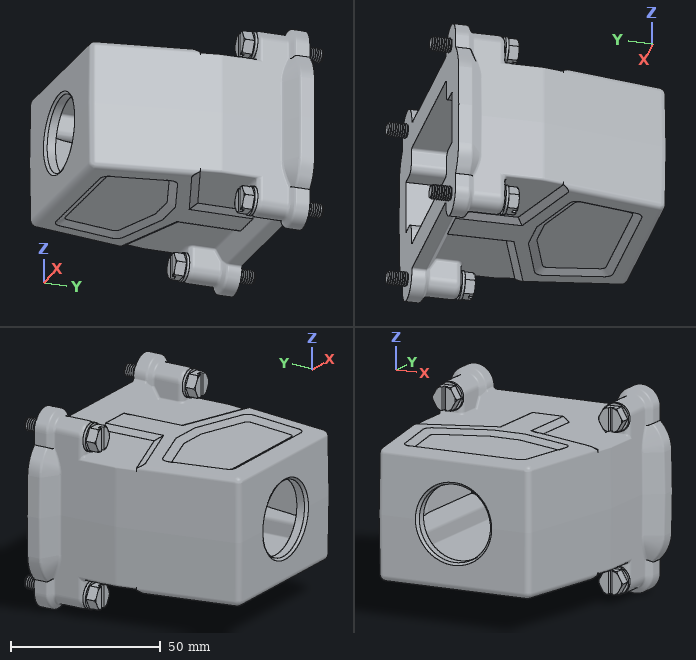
import cadquery as cq
import math


FRONT_Y = -75.0
BEND_Y = -30.8
SIDE_HALF_X = 36.5
SIDE_ANGLE = 10.0
BEND_RADIUS = 6.0
RIDGE_Z = 23.1
STEP_DEPTH = 1.5
PANEL_Z = RIDGE_Z - STEP_DEPTH
BODY_DRAFT = 0.75
RIDGE_FILLET = 2.2
PANEL_FILLET = 1.0
STEP_RUN = 2.8
NOSE_OVERLAP = 15.0

STEM_HALF_X = 5.8
BRANCH_Y = -30.6
BRANCH_ANGLE = 19.5

POCKET_TOP_HALF_X = 6.0
POCKET_TOP_Y = -35.6
POCKET_CORNER_X = 27.5
POCKET_CORNER_Y = -43.1
POCKET_BOTTOM_HALF_X = 22.8
POCKET_BOTTOM_Y = -68.2
POCKET_RIM_RADIUS = 3.0
POCKET_FLOOR_RADIUS = 2.0

WALL = 3.5
FRONT_WALL = 4.0
CAVITY_HALF_X = 25.2
CAVITY_FILLET = 1.2
CHANNEL_HALF_Z = 9.5
CHANNEL_MOUTH_RADIUS = 3.0
ENTRY_DIAMETER = 26.9
ENTRY_CHAMFER = 1.0

FLANGE_THICKNESS = 5.1
FLANGE_HALF_X = 43.0
FLANGE_DRAFT = 1.2
FLANGE_HALF_Z = 27.45
FLANGE_CORNER_RADIUS = 13.4
BEVEL_ANGLE = 58.5
BEVEL_DEPTH = 4.2

SCREW_X = 31.43
SCREW_Z = 28.0
LUG_Z = 28.5
LUG_RADIUS = 7.0
LUG_BEVEL_DEPTH = 1.5
FLANGE_EDGE_FILLET = 1.0
ROOT_FILLET = 1.0
BOSS_END_Y = -17.9
BOSS_FILLET = 2.0
WASHER_DIAMETER = 10.0
WASHER_THICKNESS = 1.0
HEAD_ACROSS_FLATS = 8.1
HEAD_HEIGHT = 3.7
HEAD_CHAMFER = 0.4
DRIVE_SLOT_WIDTH = 1.35
DRIVE_SLOT_DEPTH = 1.35
THREAD_DIAMETER = 5.0
THREAD_CORE_DIAMETER = 4.2
THREAD_PITCH = 0.8
THREAD_TURNS = 8
SCREW_END_Y = 6.94

FAR = 60.0


def body_outline(inset, front_y):
    """Half-hexagon plan outline, inset from the sides and closed at front_y."""
    half_x = SIDE_HALF_X - inset
    front_half_x = half_x - (BEND_Y - front_y) * math.tan(math.radians(SIDE_ANGLE))
    return [
        (-half_x, 0),
        (-half_x, BEND_Y),
        (-front_half_x, front_y),
        (front_half_x, front_y),
        (half_x, BEND_Y),
        (half_x, 0),
    ]


def quadrant():
    """Space where X and Z are positive; one quarter of the hood is built here and mirrored."""
    return cq.Workplane("XY").box(FAR, 3 * FAR, FAR, centered=(False, True, False))


def at_four_corners(part):
    """Join a quarter part with its mirror images about Z = 0 and X = 0."""
    right_pair = part.union(part.mirror("XY"))
    return right_pair.union(right_pair.mirror("YZ"))


def half_block(height, edge_fillet):
    """Upper half of the hood block, drafted upward from the parting plane."""
    block = cq.Workplane("XY").polyline(body_outline(0, FRONT_Y)).close()
    block = block.extrude(height, taper=BODY_DRAFT)
    near_bend = cq.selectors.BoxSelector(
        (-FAR, BEND_Y - 2, 0), (FAR, BEND_Y + 2, height)
    )
    block = block.edges(near_bend).edges("not #Z").fillet(BEND_RADIUS)
    near_front = cq.selectors.BoxSelector((-FAR, FRONT_Y - 1, 1), (FAR, FRONT_Y + 1, height - 1))
    front_edges = block.edges(near_front)
    block = front_edges.fillet(RIDGE_FILLET)
    return block.faces(">Z").edges("not >Y").fillet(edge_fillet)


def panel_outline(shift):
    """Outline right of the stem; shift moves its stem and branch edges into the panel."""
    slope = math.tan(math.radians(BRANCH_ANGLE))
    edge_shift_y = shift / math.cos(math.radians(BRANCH_ANGLE)) - shift * slope
    corner = (STEM_HALF_X + shift, BRANCH_Y + edge_shift_y)
    outer_y = corner[1] - (FAR - corner[0]) * slope
    return [(corner[0], 0), corner, (FAR, outer_y), (FAR, 0)]


def panel_cutter():
    """Region above the right recessed panel, with sloped stem and branch walls."""
    cutter = cq.Workplane("XY").workplane(offset=PANEL_Z).polyline(panel_outline(STEP_RUN)).close()
    cutter = cutter.workplane(offset=STEP_DEPTH).polyline(panel_outline(0)).close()
    cutter = cutter.loft(ruled=True)
    below = cq.Workplane("XY").polyline(panel_outline(STEP_RUN)).close().extrude(PANEL_Z)
    return cutter.union(below)


def pocket_wire(inset, corner_radius, z):
    """Six-sided pocket outline with four rounded corners at height z."""
    outline = [
        (-POCKET_TOP_HALF_X, POCKET_TOP_Y),
        (-POCKET_CORNER_X, POCKET_CORNER_Y),
        (-POCKET_BOTTOM_HALF_X, POCKET_BOTTOM_Y),
        (POCKET_BOTTOM_HALF_X, POCKET_BOTTOM_Y),
        (POCKET_CORNER_X, POCKET_CORNER_Y),
        (POCKET_TOP_HALF_X, POCKET_TOP_Y),
    ]
    wire = cq.Workplane("XY").workplane(offset=z).polyline(outline).close()
    if inset:
        wire = wire.offset2D(-inset, "intersection")
    wire = wire.val()
    corners = [v for v in wire.Vertices() if abs(v.X) > 2 * POCKET_TOP_HALF_X]
    return wire.fillet2D(corner_radius, corners)


def pocket_cutter():
    rim = pocket_wire(0, POCKET_RIM_RADIUS, RIDGE_Z)
    floor = pocket_wire(STEP_RUN, POCKET_FLOOR_RADIUS, PANEL_Z)
    return cq.Workplane(cq.Solid.makeLoft([floor, rim], True))


def hood_body():
    """Upper half of the hood; the recessed panel is cut on the right side only."""
    ridge = half_block(RIDGE_Z, RIDGE_FILLET).cut(pocket_cutter())
    ridge = ridge.cut(panel_cutter())
    lower = half_block(PANEL_Z, PANEL_FILLET)
    keep_length = -FRONT_Y - NOSE_OVERLAP
    keep = cq.Workplane("XY").box(2 * FAR, keep_length, FAR, centered=(True, False, False))
    lower = lower.intersect(keep.translate((0, -keep_length, 0)))
    return ridge.union(lower)


def flange_outline():
    """Flange plate outline in (x, z): rounded rectangle with slightly pitched ends."""
    corner_x = FLANGE_HALF_X - FLANGE_HALF_Z * math.tan(math.radians(FLANGE_DRAFT))
    corners = [(corner_x, FLANGE_HALF_Z), (-corner_x, FLANGE_HALF_Z)]
    corners += [(-FLANGE_HALF_X, 0), (-corner_x, -FLANGE_HALF_Z)]
    corners += [(corner_x, -FLANGE_HALF_Z), (FLANGE_HALF_X, 0)]
    wire = cq.Workplane("XZ").polyline(corners).close().val()
    rounded = [v for v in wire.Vertices() if abs(v.Z) > FLANGE_HALF_Z / 2]
    return cq.Workplane("XZ").add(wire.fillet2D(FLANGE_CORNER_RADIUS, rounded)).toPending()


def side_x(z):
    """Half width of the drafted body side at height z, behind the bend."""
    return SIDE_HALF_X - z * math.tan(math.radians(BODY_DRAFT))


def tongue_outline(radius, root_outer_x):
    """Outline of an upper-right tongue: round outer end, straight sides to the parting plane."""
    return (
        cq.Workplane("XZ")
        .moveTo(SCREW_X - radius, 0)
        .lineTo(SCREW_X - radius, LUG_Z)
        .threePointArc((SCREW_X, LUG_Z + radius), (SCREW_X + radius, LUG_Z))
        .lineTo(root_outer_x, 0)
        .close()
    )


def bevelled(outline, depth):
    """Quarter of a flange-thick plate with a bevelled front and a rounded bevel edge."""
    plate = outline.extrude(FLANGE_THICKNESS)
    bevel = plate.faces("<Y").wires().toPending().extrude(depth, combine=False, taper=BEVEL_ANGLE)
    at_bevel = cq.selectors.BoxSelector(
        (-FAR, -FLANGE_THICKNESS - 0.1, -FAR), (FAR, -FLANGE_THICKNESS + 0.1, FAR)
    )
    return plate.union(bevel).intersect(quadrant()).edges(at_bevel).fillet(FLANGE_EDGE_FILLET)


def flange():
    """Quarter of the flange with its screw lug."""
    plate = bevelled(flange_outline(), BEVEL_DEPTH)
    lug = bevelled(tongue_outline(LUG_RADIUS, SCREW_X + LUG_RADIUS), LUG_BEVEL_DEPTH)
    return plate.union(lug)


def boss():
    """Upper-right screw boss, flush with the body side, with its outer end rounded."""
    post = tongue_outline(side_x(LUG_Z) - SCREW_X, SIDE_HALF_X).extrude(-BOSS_END_Y)
    return post.faces("<Y").edges("not <Z").fillet(BOSS_FILLET)


def screw():
    """Upper-right slotted hex screw with washer, along the Y axis; thread as plain rings."""
    core = THREAD_CORE_DIAMETER / 2
    crest = THREAD_DIAMETER / 2
    thread_start = SCREW_END_Y - (THREAD_TURNS + 0.5) * THREAD_PITCH
    profile = [(0, BOSS_END_Y), (core, BOSS_END_Y)]
    for turn in range(THREAD_TURNS):
        root_y = thread_start + turn * THREAD_PITCH
        profile += [(core, root_y), (crest, root_y + THREAD_PITCH / 2)]
    profile += [(core, thread_start + THREAD_TURNS * THREAD_PITCH), (core, SCREW_END_Y)]
    profile.append((0, SCREW_END_Y))
    shank = cq.Workplane("XY").polyline(profile).close().revolve(360, (0, 0), (0, 1))

    washer = cq.Workplane("XZ", origin=(0, BOSS_END_Y, 0)).circle(WASHER_DIAMETER / 2)
    washer = washer.extrude(WASHER_THICKNESS)

    head_y = BOSS_END_Y - WASHER_THICKNESS
    corner_radius = HEAD_ACROSS_FLATS / math.sqrt(3)
    head = cq.Workplane("XZ", origin=(0, head_y, 0)).polygon(6, 2 * corner_radius)
    head = head.extrude(HEAD_HEIGHT)
    turned = cq.Workplane("XZ", origin=(0, head_y, 0)).circle(corner_radius).extrude(HEAD_HEIGHT)
    head = head.intersect(turned.faces("<Y").chamfer(HEAD_CHAMFER))
    slot = cq.Workplane("XY").box(DRIVE_SLOT_WIDTH, 2 * DRIVE_SLOT_DEPTH, WASHER_DIAMETER)
    head = head.cut(slot.translate((0, head_y - HEAD_HEIGHT, 0)))
    return shank.union(washer).union(head).translate((SCREW_X, 0, SCREW_Z))


def cavity():
    """Hollow interior, open through the mating face."""
    length = -FRONT_Y - FRONT_WALL
    half_z = PANEL_Z - WALL
    main = cq.Workplane("XZ").rect(2 * CAVITY_HALF_X, 2 * half_z).extrude(length)
    main = main.edges("|Y").fillet(CAVITY_FILLET)
    channel = cq.Workplane("XZ").rect(2 * SIDE_HALF_X, 2 * CHANNEL_HALF_Z).extrude(length)
    hollow = main.union(channel)
    mouth = cq.selectors.BoxSelector(
        (-CAVITY_HALF_X - 1, -FAR, -CHANNEL_HALF_Z - 1),
        (CAVITY_HALF_X + 1, FAR, CHANNEL_HALF_Z + 1),
    )
    hollow = hollow.edges("|Y").edges(mouth).fillet(CHANNEL_MOUTH_RADIUS)
    inner_outline = body_outline(WALL, -length)
    limits = cq.Workplane("XY").polyline(inner_outline).close().extrude(half_z, both=True)
    return hollow.intersect(limits)


def cable_entry():
    """Round cable entry through the front wall, widened by a conical rim."""
    radius = ENTRY_DIAMETER / 2
    profile = [
        (0, FRONT_Y - ENTRY_CHAMFER),
        (radius + 2 * ENTRY_CHAMFER, FRONT_Y - ENTRY_CHAMFER),
        (radius, FRONT_Y + ENTRY_CHAMFER),
        (radius, FRONT_Y + 2 * FRONT_WALL),
        (0, FRONT_Y + 2 * FRONT_WALL),
    ]
    return cq.Workplane("XY").polyline(profile).close().revolve(360, (0, 0), (0, 1))


def round_roots(quarter):
    """Fillet the inside corners between lug, boss, flange bevel and hood body."""
    lug_side = SCREW_X - LUG_RADIUS
    boss_side = 2 * SCREW_X - side_x(LUG_Z)
    lug_front_y = -FLANGE_THICKNESS - LUG_BEVEL_DEPTH
    bevel_front_y = -FLANGE_THICKNESS - BEVEL_DEPTH
    margin = 0.3
    lug_root = cq.selectors.BoxSelector(
        (lug_side - margin, lug_front_y + margin, PANEL_Z),
        (boss_side, -margin, FLANGE_HALF_Z + margin),
    )
    bevel_root = cq.selectors.BoxSelector(
        (STEM_HALF_X + STEP_RUN, bevel_front_y - margin, margin),
        (SIDE_HALF_X, lug_front_y + margin, FAR),
    )
    boss_root = cq.selectors.BoxSelector(
        (boss_side - margin, BOSS_END_Y - margin, PANEL_Z - margin),
        (SIDE_HALF_X, bevel_front_y - margin, PANEL_Z + margin),
    )
    return quarter.edges(lug_root + bevel_root + boss_root).fillet(ROOT_FILLET)


quarter_shell = hood_body().union(flange()).union(boss()).intersect(quadrant())
result = at_four_corners(round_roots(quarter_shell))
result = result.cut(cavity()).cut(cable_entry())
result = result.union(at_four_corners(screw()))